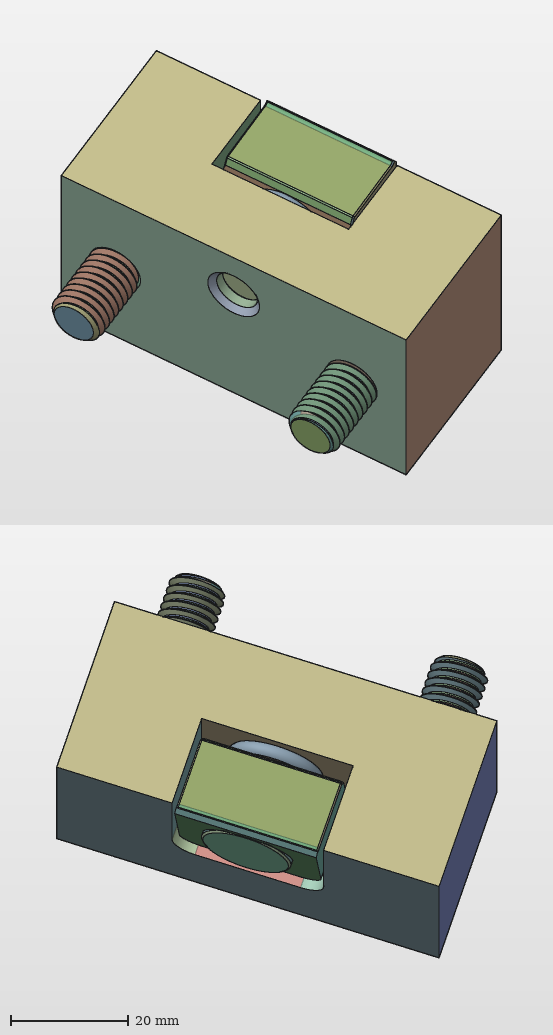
import cadquery as cq
import math


block_length = 68.6
block_depth = 31.4
block_height = 37.6
block_top = block_height / 2

slot_width = 27.15
slot_height = 23.3
slot_wall_y = 15.35
slot_corner_radius = 4.1
slot_floor = block_top - slot_height

jaw_width = 25.4
jaw_edge_chamfer = 0.3
jaw_front_y = 32.7
jaw_front_drop = 1.1
jaw_lean = math.radians(8.0)
lip_crest_y = 31.95
lip_crest_width = 0.2
lip_crest_drop = 0.1
lip_root_y = 31.1
lip_root_drop = 0.5
jaw_top_back_y = 18.8
jaw_top_slope = math.radians(1.8)
edge_break_run = 0.3
edge_break_drop = 0.2
bevel_run = 0.6
bevel_angle = math.radians(64.0)

thrust_axis_z = block_top - 10.2
thread_root_radius = 4.05
thrust_hole_mouth_radius = 5.15
thrust_tip_y = 2.8
thrust_tip_radius = 3.85
head_rim_radius = 8.65
head_thickness = 2.3
head_rim_round = 1.5

gripper_radius = 8.0
gripper_face_y = 32.65
gripper_back_y = 27.4
gripper_chamfer = 0.35

screw_spacing = 47.05
screw_radius = 5.0
screw_reach = 13.7
screw_embedded_depth = 13.7
screw_tip_chamfer = 1.1
thread_pitch = 1.5
thread_mouth = 1.4
thread_root_flat = 0.3
thread_overrun = 0.15
screw_places = [(-screw_spacing / 2, 250.0), (screw_spacing / 2, 120.0)]


def cylinder_along_y(radius, start_y, end_y, x=0.0, z=0.0):
    plane = cq.Plane(origin=(x, start_y, z), xDir=(1, 0, 0), normal=(0, 1, 0))
    return cq.Workplane(plane).circle(radius).extrude(end_y - start_y)


def make_thread_groove():
    """V groove winding along +Z, longer than the thread by one pitch at each end."""
    inner = thread_root_radius
    outer = screw_radius + thread_overrun
    flank_slope = (thread_mouth - thread_root_flat) / 2 / (screw_radius - thread_root_radius)
    outer_half_width = thread_root_flat / 2 + flank_slope * (outer - inner)
    path = cq.Wire.makeHelix(thread_pitch, screw_reach + 2 * thread_pitch, inner)
    profile = cq.Workplane("XZ").polyline([
        (inner, -thread_root_flat / 2),
        (outer, -outer_half_width),
        (outer, outer_half_width),
        (inner, thread_root_flat / 2),
    ]).close()
    return profile.sweep(cq.Workplane(path), isFrenet=True).translate((0, 0, -thread_pitch))


def make_screw(x, turn):
    """Screw threaded where it stands out of the block, plain inside it."""
    thread = cq.Workplane("XY").circle(screw_radius).extrude(screw_reach)
    thread = thread.faces(">Z").chamfer(screw_tip_chamfer)
    thread = thread.cut(make_thread_groove())
    shank = cq.Workplane("XY").circle(screw_radius).extrude(-screw_embedded_depth)
    screw = thread.union(shank).rotate((0, 0, 0), (0, 0, 1), turn)
    return screw.rotate((0, 0, 0), (1, 0, 0), 90).translate((x, 0, 0))


def make_thrust_screw():
    """Plain shank with a small tip chamfer and a disc head with a bulging rim."""
    shank = cylinder_along_y(thread_root_radius, thrust_tip_y, slot_wall_y, z=thrust_axis_z)
    shank = shank.faces("<Y").chamfer(thread_root_radius - thrust_tip_radius)
    half = head_thickness / 2
    face_radius = head_rim_radius - head_rim_round + math.sqrt(head_rim_round**2 - half**2)
    head = (
        cq.Workplane("XY")
        .lineTo(face_radius, 0)
        .threePointArc((head_rim_radius, half), (face_radius, head_thickness))
        .lineTo(0, head_thickness)
        .close()
        .revolve(360, (0, 0, 0), (0, 1, 0))
        .translate((0, slot_wall_y, thrust_axis_z))
    )
    return shank.union(head)


def make_gripper():
    disc = cylinder_along_y(gripper_radius, gripper_back_y, gripper_face_y, z=thrust_axis_z)
    return disc.faces(">Y").chamfer(gripper_chamfer)


def make_jaw(thrust_screw, gripper):
    """Leaning jaw with a raised lip, recessed for the screw head and the gripper.

    Its back face leans down to the slot wall and rests against the wall below that.
    """
    lean = math.tan(jaw_lean)
    front_z = block_top - jaw_front_drop
    crest_z = block_top - lip_crest_drop
    lip_root_z = block_top - lip_root_drop
    top_back_z = lip_root_z - (lip_root_y - jaw_top_back_y) * math.tan(jaw_top_slope)
    break_y = jaw_top_back_y - edge_break_run
    break_z = top_back_z - edge_break_drop
    bevel_y = break_y - bevel_run
    bevel_z = break_z - bevel_run * math.tan(bevel_angle)
    outline = (
        cq.Workplane("YZ", origin=(-jaw_width / 2, 0, 0))
        .moveTo(slot_wall_y, slot_floor)
        .lineTo(slot_wall_y, bevel_z - (bevel_y - slot_wall_y) / lean)
        .lineTo(bevel_y, bevel_z)
        .lineTo(break_y, break_z)
        .lineTo(jaw_top_back_y, top_back_z)
        .lineTo(lip_root_y, lip_root_z)
        .tangentArcPoint((lip_crest_y - lip_crest_width, crest_z), relative=False)
        .lineTo(lip_crest_y, crest_z)
        .lineTo(jaw_front_y, front_z)
        .lineTo(jaw_front_y - (front_z - slot_floor) * lean, slot_floor)
        .close()
    )
    jaw = outline.extrude(jaw_width)
    jaw = jaw.faces("<Z").edges("<X or >X").fillet(slot_corner_radius)
    top_sides = cq.selectors.BoxSelector(
        (-jaw_width, bevel_y, bevel_z), (jaw_width, lip_root_y, block_top)
    )
    jaw = jaw.faces("<X or >X").edges(top_sides).chamfer(jaw_edge_chamfer)
    return jaw.cut(thrust_screw).cut(gripper)


def make_slot():
    slot_depth = block_depth - slot_wall_y
    slot = cq.Workplane("XY").box(slot_width, slot_depth, slot_height, centered=(True, False, False))
    slot = slot.edges("|Y and <Z").fillet(slot_corner_radius)
    return slot.translate((0, slot_wall_y, slot_floor))


def make_thrust_hole():
    bore = cylinder_along_y(thread_root_radius, 0, slot_wall_y, z=thrust_axis_z)
    mouth_depth = thrust_hole_mouth_radius - thread_root_radius
    mouth = cq.Solid.makeCone(
        thrust_hole_mouth_radius,
        thread_root_radius,
        mouth_depth,
        pnt=cq.Vector(0, 0, thrust_axis_z),
        dir=cq.Vector(0, 1, 0),
    )
    return bore.union(cq.Workplane(mouth))


def make_block():
    block = cq.Workplane("XY").box(block_length, block_depth, block_height, centered=(True, False, True))
    block = block.cut(make_slot()).cut(make_thrust_hole())
    for x, _ in screw_places:
        block = block.cut(cylinder_along_y(screw_radius, 0, screw_embedded_depth, x=x))
    return block


block = make_block()
thrust_screw = make_thrust_screw()
gripper = make_gripper()
jaw = make_jaw(thrust_screw, gripper)
screws = [make_screw(x, turn) for x, turn in screw_places]

result = cq.Compound.makeCompound([
    block.val(),
    jaw.val(),
    gripper.val(),
    thrust_screw.val(),
    *[screw.val() for screw in screws],
])